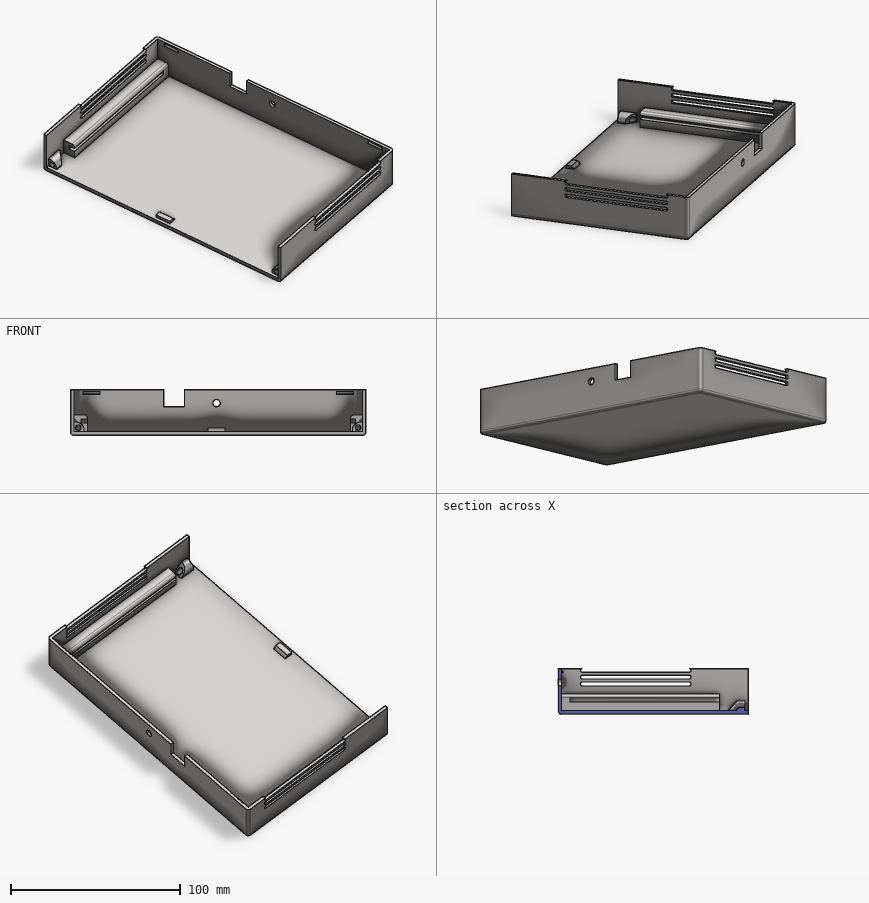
import cadquery as cq
import math

width = 174.0
depth = 112.0
height = 27.0
wall = 2.0
floor_thickness = 2.4
outer_round = 2.0
inner_half = width / 2 - wall
back_face = depth - wall

left_rail_width = 8.0
right_rail_width = 7.0
rail_top = 12.0
rail_round = 2.0
rail_start = 17.0
groove_bottom = 7.3
groove_height = 2.4
groove_floor_inset = 4.0
groove_end_margin = 5.0

boss_start = 2.0
boss_length = 10.0
boss_flat = 1.0
boss_radius = 5.0
boss_foot = 0.5
boss_height = boss_foot + boss_radius
boss_top = floor_thickness + boss_height
boss_end = boss_start + boss_length
boss_flat_x = inner_half - boss_flat
boss_edge_x = boss_flat_x - boss_radius
boss_hole = 3.3
boss_hole_inset = 2.6
boss_hole_z = 4.5

tab_center_x = -1.0
tab_width = 10.0
tab_start = 2.0
tab_length = 5.2
tab_height = 1.8

ridge_width = 10.0
ridge_inset = 7.2
ridge_z = 25.0
ridge_depth = 1.0

notch_left = -32.0
notch_width = 12.0
notch_bottom = 17.0
port_x = -1.0
port_z = 19.0
port_diameter = 4.2

vent_start = 33.8
vent_length = 65.0
vent_height = 2.2
vent_pitch = 4.0
vent_first_z = 17.95
vent_count = 3


def box(x, y, z, size_x, size_y, size_z):
    """Box with its lowest corner at (x, y, z)."""
    return cq.Workplane("XY").box(size_x, size_y, size_z, centered=False).translate((x, y, z))


def shell():
    body = box(-width / 2, 0, 0, width, depth, height)
    body = body.edges("|Z and >Y").fillet(outer_round)
    body = body.faces("<Z").edges("not <Y").fillet(outer_round)
    cavity = box(-inner_half, 0, floor_thickness, 2 * inner_half, back_face, height)
    return body.cut(cavity)


def rail(rail_width):
    """Rail for a side wall, drawn at +X, with a slot open at its front end."""
    inner_x = inner_half - rail_width
    groove_depth = rail_width - groove_floor_inset
    rail_length = back_face - rail_start
    rail_height = rail_top - floor_thickness
    bar = box(inner_x, rail_start, floor_thickness, rail_width, rail_length, rail_height)
    bar = bar.edges("|Y and >Z and <X").fillet(rail_round)
    groove_length = rail_length - groove_end_margin
    return bar.cut(box(inner_x, rail_start, groove_bottom, groove_depth, groove_length, groove_height))


def boss():
    """Quarter-round boss in the +X corner before its back end is cut at an angle."""
    arc_z = floor_thickness + boss_foot
    arc_step = boss_radius * math.sqrt(0.5)
    return (
        cq.Workplane("XZ", origin=(0, boss_start, 0))
        .moveTo(inner_half, floor_thickness)
        .lineTo(inner_half, boss_top)
        .lineTo(boss_flat_x, boss_top)
        .threePointArc((boss_flat_x - arc_step, arc_z + arc_step), (boss_edge_x, arc_z))
        .lineTo(boss_edge_x, floor_thickness)
        .close()
        .extrude(-boss_length)
    )


def boss_bore():
    return (
        cq.Workplane("XZ", origin=(inner_half - boss_hole_inset, boss_start, boss_hole_z))
        .circle(boss_hole / 2)
        .extrude(-boss_length)
    )


def right_boss():
    """Boss whose back end leans forward as it rises."""
    slope = (
        cq.Workplane("YZ")
        .polyline([(boss_end, floor_thickness), (boss_end, boss_top), (boss_end - boss_height, boss_top)])
        .close()
        .extrude(width)
    )
    return boss().cut(slope).cut(boss_bore())


def left_boss():
    """Boss whose back end is a vertical face running forward from the side wall."""
    slope = (
        cq.Workplane("XY")
        .polyline([(boss_flat_x, boss_end), (boss_edge_x, boss_end), (boss_edge_x, boss_end - boss_radius)])
        .close()
        .extrude(height)
    )
    return boss().cut(slope).cut(boss_bore()).mirror("YZ")


def tab():
    block = box(tab_center_x - tab_width / 2, tab_start, floor_thickness, tab_width, tab_length, tab_height)
    end = tab_start + tab_length
    top = floor_thickness + tab_height
    slope = (
        cq.Workplane("YZ")
        .polyline([(end, floor_thickness), (end, top), (end - tab_height, top)])
        .close()
        .extrude(width, both=True)
    )
    return block.cut(slope)


def ridge():
    """Triangular snap ridge at the +X end of the back wall."""
    return (
        cq.Workplane("YZ", origin=(width / 2 - ridge_inset - ridge_width, 0, 0))
        .polyline([
            (back_face, ridge_z + ridge_depth),
            (back_face - ridge_depth, ridge_z),
            (back_face, ridge_z - ridge_depth),
        ])
        .close()
        .extrude(ridge_width)
    )


def vents():
    """Stack of slots through both side walls; the top one breaks out of the rim."""
    slots = cq.Workplane("YZ")
    center_y = vent_start + vent_length / 2
    centers = [(center_y, vent_first_z + i * vent_pitch) for i in range(vent_count)]
    return slots.pushPoints(centers).slot2D(vent_length, vent_height).extrude(width, both=True)


def port():
    return cq.Workplane("XZ", origin=(port_x, depth, port_z)).circle(port_diameter / 2).extrude(2 * wall)


result = shell()
result = result.union(rail(right_rail_width)).union(rail(left_rail_width).mirror("YZ"))
result = result.union(ridge()).union(ridge().mirror("YZ"))
result = result.union(right_boss()).union(left_boss()).union(tab())
result = result.cut(box(notch_left, back_face, notch_bottom, notch_width, wall, height))
result = result.cut(port()).cut(vents())